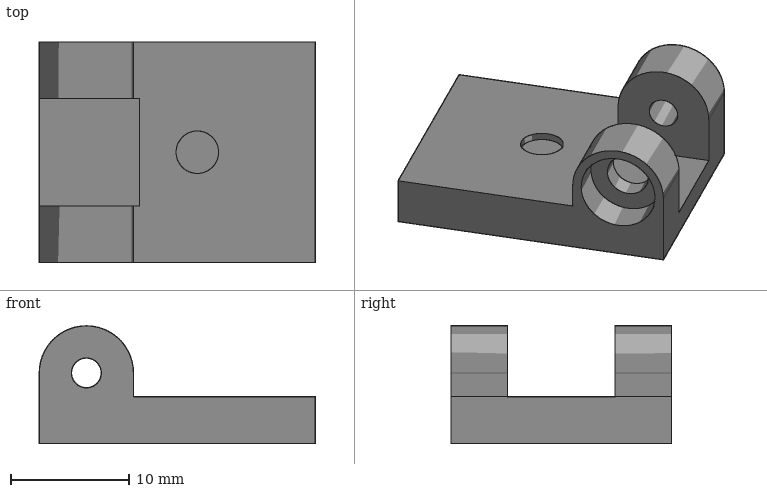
import cadquery as cq

plate_length = 23.4
plate_width = 18.7
plate_thickness = 4.0

lug_diameter = 8.0
lug_radius = lug_diameter / 2
lug_height = 10.0
lug_thickness = 4.8
pin_x = lug_radius
pin_z = lug_height - lug_radius

pin_bore_diameter = 2.5
large_pin_bore_diameter = 3.6
counterbore_diameter = 6.5
counterbore_depth = 3.0

slot_length = 8.5
slot_width = plate_width - 2 * lug_thickness
slot_floor_z = 2.0

recess_diameter = 3.6
recess_from_plain_end = 10.0
recess_x = plate_length - recess_from_plain_end
recess_depth = 0.6


def hinge_body():
    """Plate with a full-width round-topped knuckle along the hinge end."""
    profile = (
        cq.Workplane("XZ")
        .moveTo(0, 0)
        .lineTo(plate_length, 0)
        .lineTo(plate_length, plate_thickness)
        .lineTo(lug_diameter, plate_thickness)
        .lineTo(lug_diameter, pin_z)
        .threePointArc((pin_x, lug_height), (0, pin_z))
        .close()
    )
    return profile.extrude(plate_width / 2, both=True)


def lug_slot():
    """Block that splits the knuckle into two lugs and sinks into the plate."""
    slot_height = lug_height - slot_floor_z
    return (
        cq.Workplane("XY")
        .workplane(offset=slot_floor_z)
        .box(slot_length, slot_width, slot_height, centered=(False, True, False))
    )


def pin_bore(diameter, start_y, length):
    """Cylinder on the pin axis, running from start_y toward +Y."""
    axis_start = cq.Vector(pin_x, start_y, pin_z)
    axis_direction = cq.Vector(0, 1, 0)
    cylinder = cq.Solid.makeCylinder(diameter / 2, length, axis_start, axis_direction)
    return cq.Workplane(cylinder)


def plate_recess():
    """Shallow round pocket in the top of the plate."""
    return (
        cq.Workplane("XY")
        .workplane(offset=plate_thickness - recess_depth)
        .center(recess_x, 0)
        .circle(recess_diameter / 2)
        .extrude(recess_depth)
    )


result = (
    hinge_body()
    .cut(lug_slot())
    .cut(pin_bore(pin_bore_diameter, -plate_width / 2, plate_width))
    .cut(pin_bore(large_pin_bore_diameter, slot_width / 2, lug_thickness))
    .cut(pin_bore(counterbore_diameter, plate_width / 2 - counterbore_depth, counterbore_depth))
    .cut(plate_recess())
)